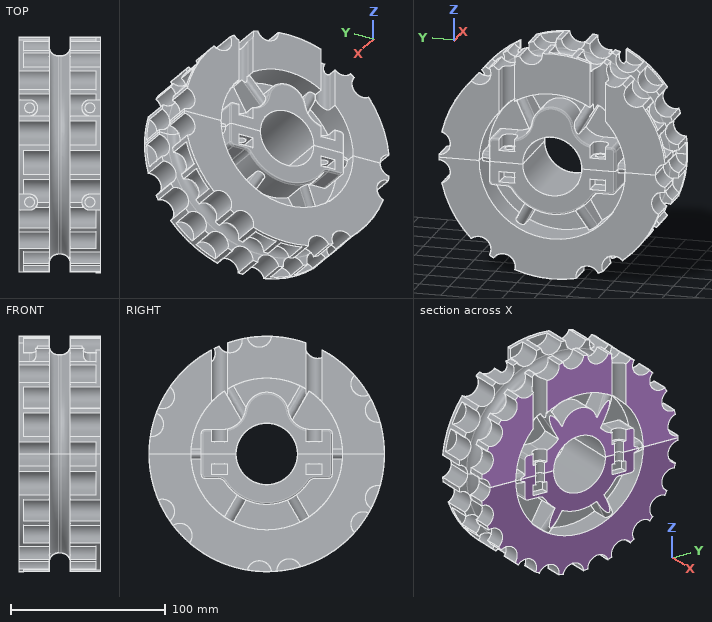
import cadquery as cq
import math


wheel_radius = 76.5
width = 53.0
half_width = width / 2
bore_radius = 19.9
recess_radius = 49.3
web_thickness = 8.5
half_web = web_thickness / 2

groove_width = 13.6
groove_floor_radius = 64.4
groove_floor_width = 1.7

pocket_count = 25
pocket_radius = 8.0
pocket_center_radius = 77.4
pocket_wall = 2.9
pocket_pitch = 360 / pocket_count
first_pocket_angle = 3.5 * pocket_pitch

ear_half_span = 42.5
ear_half_height = 15.9
ear_corner_radius = 2.6
crown_radius = 14.0
crown_top = 40.1
shoulder_radius = 15.0
belly_radius = 32.7
belly_blend_radius = 4.6
hub_edge_radius = 1.0

rib_count = 6
rib_thickness = 6.7
rib_inner_setback = 3.5
rib_outer_setback = 7.6
rib_slope = (rib_outer_setback - rib_inner_setback) / (recess_radius - belly_radius)

screw_x = 19.6
screw_y = 30.6
screw_hole_radius = 3.2
slot_width = 10.4
slot_radius = slot_width / 2
slot_floor = 8.0
nut_pocket_top = -6.5
nut_pocket_bottom = -13.5


def x_cylinder(radius, x_start, x_end, y=0.0, z=0.0):
    """Cylinder parallel to the wheel axis."""
    return cq.Workplane("YZ", origin=(x_start, 0, 0)).center(y, z).circle(radius).extrude(x_end - x_start)


def box_between(x_range, y_range, z_range):
    """Box given by its limits along each axis."""
    sizes = [end - start for start, end in (x_range, y_range, z_range)]
    corner = (x_range[0], y_range[0], z_range[0])
    return cq.Workplane("XY").box(*sizes, centered=False).translate(corner)


def make_rim():
    half_groove = groove_width / 2
    half_floor = groove_floor_width / 2
    arc_radius = half_groove - half_floor
    wall_foot = groove_floor_radius + arc_radius
    return (
        cq.Workplane("XY")
        .moveTo(-half_width, recess_radius)
        .lineTo(-half_width, wheel_radius)
        .lineTo(-half_groove, wheel_radius)
        .lineTo(-half_groove, wall_foot)
        .radiusArc((-half_floor, groove_floor_radius), -arc_radius)
        .lineTo(half_floor, groove_floor_radius)
        .radiusArc((half_groove, wall_foot), -arc_radius)
        .lineTo(half_groove, wheel_radius)
        .lineTo(half_width, wheel_radius)
        .lineTo(half_width, recess_radius)
        .close()
        .revolve(360, (0, 0, 0), (1, 0, 0))
    )


def make_crown():
    """Dome above the bore, flowing into the ears through tangent shoulder arcs."""
    crown_z = crown_top - crown_radius
    shoulder_z = ear_half_height + shoulder_radius
    center_distance = crown_radius + shoulder_radius
    shoulder_y = math.sqrt(center_distance**2 - (shoulder_z - crown_z) ** 2)
    share = crown_radius / center_distance
    tangent_y = shoulder_y * share
    tangent_z = crown_z + (shoulder_z - crown_z) * share
    return (
        cq.Workplane("YZ", origin=(-half_width, 0, 0))
        .moveTo(-shoulder_y, 0)
        .lineTo(-shoulder_y, ear_half_height)
        .radiusArc((-tangent_y, tangent_z), -shoulder_radius)
        .threePointArc((0, crown_top), (tangent_y, tangent_z))
        .radiusArc((shoulder_y, ear_half_height), -shoulder_radius)
        .lineTo(shoulder_y, 0)
        .close()
        .extrude(width)
    )


def make_hub():
    ears = cq.Workplane("XY").box(width, 2 * ear_half_span, 2 * ear_half_height)
    ears = ears.edges("|X").fillet(ear_corner_radius)
    belly = (
        cq.Workplane("YZ", origin=(-half_width, 0, 0))
        .moveTo(-belly_radius, 0)
        .threePointArc((0, -belly_radius), (belly_radius, 0))
        .close()
        .extrude(width)
    )
    hub = ears.union(belly)
    belly_y = math.sqrt(belly_radius**2 - ear_half_height**2)
    for side in (-1, 1):
        corner = (0, side * belly_y, -ear_half_height)
        hub = hub.edges(cq.selectors.NearestToPointSelector(corner)).fillet(belly_blend_radius)
    hub = hub.union(make_crown()).clean()
    return hub.faces("<X or >X").edges().fillet(hub_edge_radius)


def rib_width_at(radius):
    """Rib size along X, with its edges running straight from the belly to the recess wall."""
    setback = rib_inner_setback + rib_slope * (radius - belly_radius)
    return width - 2 * setback


def make_ribs():
    """Tapered radial plates that reach from inside the hub into the rim."""
    embedding = rib_thickness / 4
    rib_start = bore_radius
    rib_end = recess_radius + embedding
    rib = (
        cq.Workplane("XZ", origin=(0, -rib_start, 0))
        .slot2D(rib_width_at(rib_start), rib_thickness)
        .workplane(offset=rib_end - rib_start)
        .slot2D(rib_width_at(rib_end), rib_thickness)
        .loft(ruled=True)
    )
    return [rib.rotate((0, 0, 0), (1, 0, 0), index * 360 / rib_count) for index in range(rib_count)]


def cut_roller_pockets(wheel):
    """Each pocket is open on one face; the open face swaps after every second pocket."""
    for index in range(pocket_count):
        angle = math.radians(first_pocket_angle - index * pocket_pitch)
        y = pocket_center_radius * math.cos(angle)
        z = pocket_center_radius * math.sin(angle)
        opens_toward_minus_x = (index + 1) // 2 % 2 == 0
        if opens_toward_minus_x:
            x_start, x_end = -half_width, half_width - pocket_wall
        else:
            x_start, x_end = pocket_wall - half_width, half_width
        wheel = wheel.cut(x_cylinder(pocket_radius, x_start, x_end, y, z))
    return wheel


def cut_clamping_screws(wheel):
    """Slots and nut pockets open sideways through the nearest face."""
    for side in (-1, 1):
        x = side * screw_x
        face_x = side * half_width
        slot_end = side * (screw_x - slot_radius)
        for y in (-screw_y, screw_y):
            y_range = (y - slot_radius, y + slot_radius)
            slot_end_round = (
                cq.Workplane("XY", origin=(x, y, slot_floor)).circle(slot_radius).extrude(wheel_radius)
            )
            slot_mouth = box_between(sorted((x, face_x)), y_range, (slot_floor, wheel_radius))
            nut_pocket = box_between(sorted((slot_end, face_x)), y_range, (nut_pocket_bottom, nut_pocket_top))
            screw_hole = (
                cq.Workplane("XY", origin=(x, y, nut_pocket_top))
                .circle(screw_hole_radius)
                .extrude(slot_floor - nut_pocket_top)
            )
            for void in (slot_end_round, slot_mouth, nut_pocket, screw_hole):
                wheel = wheel.cut(void)
    return wheel


def make_wheel():
    wheel = make_rim().union(x_cylinder(recess_radius, -half_web, half_web)).union(make_hub())
    for rib in make_ribs():
        wheel = wheel.union(rib)
    wheel = wheel.cut(x_cylinder(bore_radius, -half_width, half_width))
    wheel = cut_roller_pockets(wheel)
    return cut_clamping_screws(wheel)


def half_space(z_start, z_end):
    """Block that covers the wheel between two heights."""
    return box_between((-width, width), (-2 * wheel_radius, 2 * wheel_radius), (z_start, z_end))


wheel = make_wheel()
upper_half = wheel.intersect(half_space(0, 2 * wheel_radius))
lower_half = wheel.intersect(half_space(-2 * wheel_radius, 0))

result = cq.Compound.makeCompound([*upper_half.vals(), *lower_half.vals()])